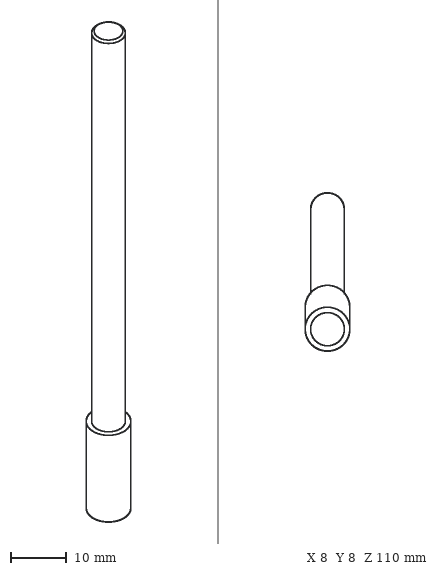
import cadquery as cq

total_length = 110.0
rod_diameter = 6.0
rod_chamfer = 0.4
sleeve_diameter = 8.0
sleeve_length = 20.0


def make_rod():
    """Full-length round rod with a chamfered upper end."""
    rod = cq.Workplane("XY").circle(rod_diameter / 2).extrude(total_length)
    return rod.faces(">Z").chamfer(rod_chamfer)


def make_sleeve():
    """Plain tube that fits closely around the lower end of the rod."""
    return (
        cq.Workplane("XY")
        .circle(sleeve_diameter / 2)
        .circle(rod_diameter / 2)
        .extrude(sleeve_length)
    )


rod = make_rod()
sleeve = make_sleeve()

result = cq.Compound.makeCompound([rod.val(), sleeve.val()])